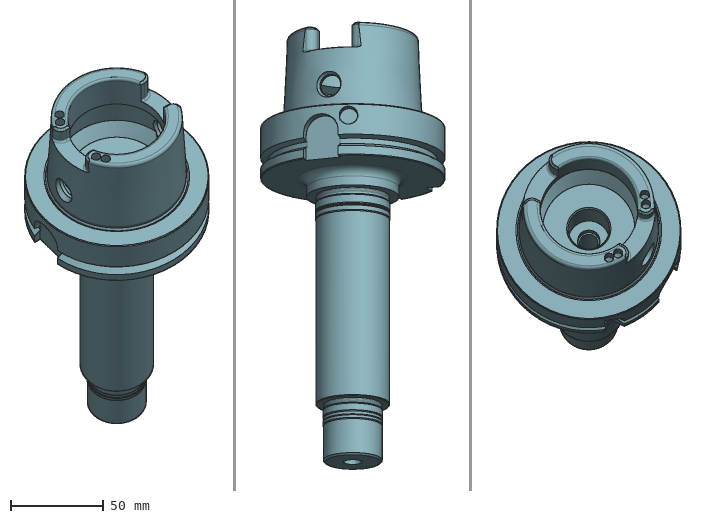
import cadquery as cq
import math

TAPER_TOP = 50.0
FLANGE_BOTTOM = -29.0
BOSS_BOTTOM = -39.0
SHAFT_BOTTOM = -156.0
PART_BOTTOM = -188.0

TAPER_BASE_R = 38.0
TAPER_SLOPE = 0.05
RIM_OUTER_ROUND = 2.0
RIM_INNER_ROUND = 1.5
RELIEF_R = 75.46 / 2
RELIEF_TOP = 2.2
RELIEF_WAIST_TOP = 1.5
RELIEF_WAIST_BOTTOM = 0.8
RELIEF_DEPTH = 0.4
RELIEF_FLOOR_R = 38.7
RELIEF_OUTER_R = 39.5

FLANGE_R = 50.0
FLANGE_CHAMFER = 0.5
GROOVE_FLOOR_R = 46.0
GROOVE_TOP = -17.3
GROOVE_FLOOR_TOP = -18.5
GROOVE_FLOOR_BOTTOM = -21.5
GROOVE_BOTTOM = -23.7

BOSS_R = 50 / 2
BOSS_FILLET = 5.0
SHAFT_R = 40 / 2
COLLAR_R = 40.5 / 2
COLLARS = [(-43.0, -47.3), (-49.0, -51.5)]
COLLAR_RAMP = 0.6
NECK_DEPTH = 0.15
NECK_TOP_RAMP = 0.7
NECK_LENGTH = 0.8
SHAFT_CHAMFER = 0.5
NOSE_R = 32 / 2
LAND_R = 32.5 / 2
LANDS = [(-159.3, -163.0), (-165.8, -167.3)]
NOSE_CHAMFER = 1.0

MOUTH_R = 53 / 2
CLAMP_R = 63 / 2
CLAMP_TOP = 29.3
CLAMP_SHOULDER_ANGLE = 30.0
CLAMP_BOTTOM = 10.0
FLOOR_R = 50 / 2
FLOOR_Z = CLAMP_BOTTOM - (CLAMP_R - FLOOR_R)
TUBE_R = 22.38 / 2
TUBE_CHAMFER = 0.8
TUBE_DEPTH = 25.0
THROUGH_R = 10 / 2
STEP_R = 12 / 2
STEP_DEPTH = 5.0

KEY_HALF_WIDTH = 10.0
KEY_ROUND = 5.0
KEY_ROUND_Y = 27.0
KEY_REACH_X = 22.0
KEY_REACH_Y = 45.0
KEY_INNER_Y = 15.0
KEY_FILLET = 1.2
KEY_CHAMFER = 1.3
OVERCUT = 1.0
KEY_DEPTHS = {-1: 9.5, 1: 14.5}

SLOT_R = 10.0
SLOT_CENTRE_Z = -15.0
SLOT_FLAT = 45.0
NOTCH_CORNER = 31.2

CROSS_HOLE_D = 12.0
CROSS_HOLE_Z = 15.0
CROSS_SINK_D = 14.0
SINK_SLOPE = 0.5

PIN_HOLE_D = 5.0
PIN_HOLE_DEPTH = 8.0
PIN_CIRCLE_R = 31.0
PIN_ANGLES = [30.5, 40.5]
DRILL_POINT = 118.0

CHIP_HOLE_D = 10.0
CHIP_HOLE_Z = -6.6
CHIP_HOLE_ANGLE = 18.0
CHIP_HOLE_DEPTH = 5.0


def taper_radius(z):
    """Outer radius of the taper at a given height."""
    return TAPER_BASE_R - TAPER_SLOPE * z


def collared_stretch(profile, shoulder_z, base_r, collar_r, collars):
    """Run the outline down from a shoulder: a shallow neck, then collars with sloped ends."""
    neck_r = base_r - NECK_DEPTH
    neck_top = shoulder_z - NECK_TOP_RAMP
    neck_bottom = neck_top - NECK_LENGTH
    profile = (
        profile.lineTo(base_r, shoulder_z)
        .lineTo(neck_r, neck_top)
        .lineTo(neck_r, neck_bottom)
        .lineTo(base_r, neck_bottom - COLLAR_RAMP)
    )
    for top, bottom in collars:
        profile = (
            profile.lineTo(base_r, top + COLLAR_RAMP)
            .lineTo(collar_r, top)
            .lineTo(collar_r, bottom)
            .lineTo(base_r, bottom - COLLAR_RAMP)
        )
    return profile


def outer_body():
    """Solid of revolution for the taper, flange, boss, shaft and nose."""
    rim_edge_z = TAPER_TOP - RIM_OUTER_ROUND
    rim_edge_r = taper_radius(rim_edge_z)
    profile = (
        cq.Workplane("XZ")
        .moveTo(0, TAPER_TOP)
        .lineTo(rim_edge_r - RIM_OUTER_ROUND, TAPER_TOP)
        .radiusArc((rim_edge_r, rim_edge_z), RIM_OUTER_ROUND)
        .lineTo(taper_radius(RELIEF_TOP), RELIEF_TOP)
        .lineTo(RELIEF_R, RELIEF_WAIST_TOP)
        .lineTo(RELIEF_R, RELIEF_WAIST_BOTTOM)
        .lineTo(RELIEF_FLOOR_R, -RELIEF_DEPTH)
        .lineTo(RELIEF_OUTER_R, 0)
        .lineTo(FLANGE_R - FLANGE_CHAMFER, 0)
        .lineTo(FLANGE_R, -FLANGE_CHAMFER)
        .lineTo(FLANGE_R, GROOVE_TOP)
        .lineTo(GROOVE_FLOOR_R, GROOVE_FLOOR_TOP)
        .lineTo(GROOVE_FLOOR_R, GROOVE_FLOOR_BOTTOM)
        .lineTo(FLANGE_R, GROOVE_BOTTOM)
        .lineTo(FLANGE_R, FLANGE_BOTTOM + FLANGE_CHAMFER)
        .lineTo(FLANGE_R - FLANGE_CHAMFER, FLANGE_BOTTOM)
        .lineTo(BOSS_R + BOSS_FILLET, FLANGE_BOTTOM)
        .radiusArc((BOSS_R, FLANGE_BOTTOM - BOSS_FILLET), -BOSS_FILLET)
        .lineTo(BOSS_R, BOSS_BOTTOM)
    )
    profile = collared_stretch(profile, BOSS_BOTTOM, SHAFT_R, COLLAR_R, COLLARS)
    profile = (
        profile.lineTo(SHAFT_R, SHAFT_BOTTOM + SHAFT_CHAMFER)
        .lineTo(SHAFT_R - SHAFT_CHAMFER, SHAFT_BOTTOM)
    )
    profile = collared_stretch(profile, SHAFT_BOTTOM, NOSE_R, LAND_R, LANDS)
    profile = (
        profile.lineTo(NOSE_R, PART_BOTTOM + NOSE_CHAMFER)
        .lineTo(NOSE_R - NOSE_CHAMFER, PART_BOTTOM)
        .lineTo(0, PART_BOTTOM)
        .close()
    )
    return profile.revolve(360, (0, 0, 0), (0, 1, 0))


def inner_cavity():
    """Stepped bore from the taper mouth through to the nose."""
    shoulder = (CLAMP_R - MOUTH_R) * math.tan(math.radians(CLAMP_SHOULDER_ANGLE))
    tube_bottom = FLOOR_Z - TUBE_DEPTH
    return (
        cq.Workplane("XZ")
        .moveTo(0, TAPER_TOP)
        .lineTo(MOUTH_R + RIM_INNER_ROUND, TAPER_TOP)
        .radiusArc((MOUTH_R, TAPER_TOP - RIM_INNER_ROUND), -RIM_INNER_ROUND)
        .lineTo(MOUTH_R, CLAMP_TOP)
        .lineTo(CLAMP_R, CLAMP_TOP - shoulder)
        .lineTo(CLAMP_R, CLAMP_BOTTOM)
        .lineTo(FLOOR_R, FLOOR_Z)
        .lineTo(TUBE_R + TUBE_CHAMFER, FLOOR_Z)
        .lineTo(TUBE_R, FLOOR_Z - TUBE_CHAMFER)
        .lineTo(TUBE_R, tube_bottom)
        .lineTo(STEP_R, tube_bottom)
        .lineTo(STEP_R, tube_bottom - STEP_DEPTH)
        .lineTo(THROUGH_R, tube_bottom - STEP_DEPTH)
        .lineTo(THROUGH_R, PART_BOTTOM)
        .lineTo(0, PART_BOTTOM)
        .close()
        .revolve(360, (0, 0, 0), (0, 1, 0))
    )


def key_outline(z):
    """Plan of the +Y drive key slot: parallel walls that round off outward."""
    round_x = KEY_HALF_WIDTH + KEY_ROUND
    round_y = KEY_ROUND_Y + KEY_ROUND
    return (
        cq.Workplane("XY", origin=(0, 0, z))
        .moveTo(-KEY_HALF_WIDTH, KEY_INNER_Y)
        .lineTo(KEY_HALF_WIDTH, KEY_INNER_Y)
        .lineTo(KEY_HALF_WIDTH, KEY_ROUND_Y)
        .radiusArc((round_x, round_y), KEY_ROUND)
        .lineTo(KEY_REACH_X, round_y)
        .lineTo(KEY_REACH_X, KEY_REACH_Y)
        .lineTo(-KEY_REACH_X, KEY_REACH_Y)
        .lineTo(-KEY_REACH_X, round_y)
        .lineTo(-round_x, round_y)
        .radiusArc((-KEY_HALF_WIDTH, KEY_ROUND_Y), KEY_ROUND)
        .close()
    )


def key_slot(side, depth):
    """Drive key slot with rounded floor edges and chamfered rim edges, on the given side of Y."""
    slot = key_outline(TAPER_TOP - depth).extrude(depth + OVERCUT)
    slot = slot.faces("<Z").edges().fillet(KEY_FILLET)
    lip = key_outline(TAPER_TOP - KEY_CHAMFER).extrude(KEY_CHAMFER + OVERCUT, taper=-45)
    slot = slot.union(lip)
    return slot if side > 0 else slot.mirror("XZ")


def round_top_slot(centre_x, near_y):
    """Round-topped slot milled along Y, open toward the flange underside and -Y."""
    reach = FLANGE_R + SLOT_R
    return (
        cq.Workplane("XZ", origin=(0, near_y, 0))
        .moveTo(centre_x - SLOT_R, FLANGE_BOTTOM)
        .lineTo(centre_x + SLOT_R, FLANGE_BOTTOM)
        .lineTo(centre_x + SLOT_R, SLOT_CENTRE_Z)
        .threePointArc((centre_x, SLOT_CENTRE_Z + SLOT_R), (centre_x - SLOT_R, SLOT_CENTRE_Z))
        .close()
        .extrude(reach + near_y)
    )


def flange_slots():
    """Two opposite flange slots on Y and the corner notch between -X and -Y."""
    front = round_top_slot(0, -SLOT_FLAT)
    notch = round_top_slot(-NOTCH_CORNER - SLOT_R, -NOTCH_CORNER)
    return front.union(front.mirror("XZ")).union(notch)


def cross_hole():
    """Hole through both taper walls along Y, countersunk on both faces of each wall."""
    hole_r = CROSS_HOLE_D / 2
    sink_r = CROSS_SINK_D / 2
    sink = (sink_r - hole_r) / SINK_SLOPE
    outer_y = math.sqrt(taper_radius(CROSS_HOLE_Z) ** 2 - sink_r**2)
    inner_y = math.sqrt(CLAMP_R**2 - sink_r**2)
    outer_end_r = sink_r + (TAPER_BASE_R - outer_y) * SINK_SLOPE
    half = (
        cq.Workplane("XY", origin=(0, 0, CROSS_HOLE_Z))
        .moveTo(0, 0)
        .lineTo(sink_r, 0)
        .lineTo(sink_r, inner_y)
        .lineTo(hole_r, inner_y + sink)
        .lineTo(hole_r, outer_y - sink)
        .lineTo(outer_end_r, TAPER_BASE_R)
        .lineTo(0, TAPER_BASE_R)
        .close()
        .revolve(360, (0, 0, 0), (0, 1, 0))
    )
    return half.union(half.mirror("XZ"))


def pin_hole(angle):
    """Drilled blind hole in the taper rim."""
    radius = PIN_HOLE_D / 2
    point = radius / math.tan(math.radians(DRILL_POINT / 2))
    x = PIN_CIRCLE_R * math.sin(math.radians(angle))
    y = -PIN_CIRCLE_R * math.cos(math.radians(angle))
    return (
        cq.Workplane("XZ")
        .moveTo(0, TAPER_TOP)
        .lineTo(radius, TAPER_TOP)
        .lineTo(radius, TAPER_TOP - PIN_HOLE_DEPTH)
        .lineTo(0, TAPER_TOP - PIN_HOLE_DEPTH - point)
        .close()
        .revolve(360, (0, 0, 0), (0, 1, 0))
        .translate((x, y, 0))
    )


def chip_hole():
    """Blind radial hole in the flange rim for a data chip."""
    return (
        cq.Workplane("XZ", origin=(0, FLANGE_R, CHIP_HOLE_Z))
        .circle(CHIP_HOLE_D / 2)
        .extrude(CHIP_HOLE_DEPTH)
        .rotate((0, 0, 0), (0, 0, 1), CHIP_HOLE_ANGLE)
    )


result = outer_body().cut(inner_cavity())
for side, depth in KEY_DEPTHS.items():
    result = result.cut(key_slot(side, depth))
result = result.cut(flange_slots()).cut(cross_hole()).cut(chip_hole())
for angle in PIN_ANGLES:
    for signed_angle in (-angle, angle):
        result = result.cut(pin_hole(signed_angle))